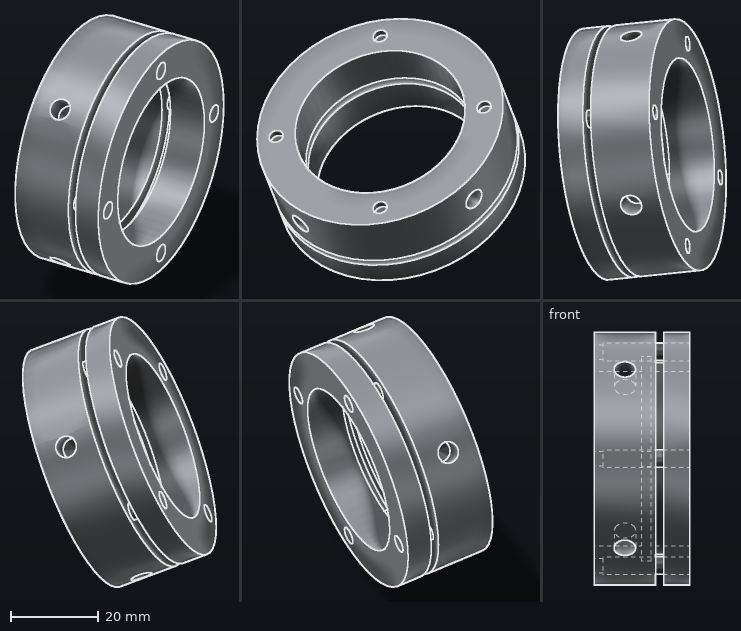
import cadquery as cq
import math

outer_radius = 29.0
bore_radius = 20.0
length = 22.0
wide_ring_length = 14.1
gap_width = 1.85
gap_floor_radius = 22.05

bore_groove_start = 10.8
bore_groove_width = 2.25
bore_groove_radius = 23.5

radial_hole_diameter = 4.95
radial_hole_depth = 5.75
drill_point_angle = 118.0

pin_count = 4
pin_circle_radius = 24.5
pin_diameter = 4.05
axial_hole_diameter = 3.3
axial_hole_depth = 2.0
pin_length = length - axial_hole_depth

pin_angles = [i * 360.0 / pin_count for i in range(pin_count)]
half_pin_pitch = 180.0 / pin_count


def cylinder_along_x(radius, start, depth):
    """Solid cylinder on the X axis, from x = start to start + depth."""
    return cq.Workplane("YZ", origin=(start, 0, 0)).circle(radius).extrude(depth)


def ring_along_x(outer, inner, start, depth):
    """Plain ring on the X axis."""
    return cylinder_along_x(outer, start, depth).cut(cylinder_along_x(inner, start, depth))


def turn_about_x(body, angle):
    return body.rotate((0, 0, 0), (1, 0, 0), angle)


def make_radial_hole():
    """Cutter for one radial hole with a drill-point bottom, pointing along +Z."""
    hole_radius = radial_hole_diameter / 2
    shoulder = outer_radius - radial_hole_depth
    tip = shoulder - hole_radius / math.tan(math.radians(drill_point_angle / 2))
    profile = [(0, tip), (hole_radius, shoulder), (hole_radius, outer_radius), (0, outer_radius)]
    hole = cq.Workplane("XZ").polyline(profile).close().revolve(360, (0, 0, 0), (0, 1, 0))
    return hole.translate((wide_ring_length / 2, 0, 0))


def move_to_pin_circle(body, angle):
    """Shift a body from the X axis to the pin position at the given angle from +Z."""
    y = pin_circle_radius * math.sin(math.radians(angle))
    z = pin_circle_radius * math.cos(math.radians(angle))
    return body.translate((0, y, z))


def make_axial_hole(angle):
    """Cutter for the short hole that leads from the end face to a pin."""
    hole = cylinder_along_x(axial_hole_diameter / 2, 0, axial_hole_depth)
    return move_to_pin_circle(hole, angle)


def make_pin(angle):
    """Pin that crosses the gap and ends flush with the flange; also cuts its own seat."""
    pin = cylinder_along_x(pin_diameter / 2, axial_hole_depth, pin_length)
    return move_to_pin_circle(pin, angle)


def make_housing():
    body = ring_along_x(outer_radius, bore_radius, 0, length)
    body = body.cut(ring_along_x(outer_radius, gap_floor_radius, wide_ring_length, gap_width))
    body = body.cut(ring_along_x(bore_groove_radius, bore_radius, bore_groove_start, bore_groove_width))
    for angle in pin_angles:
        body = body.cut(make_axial_hole(angle))
        body = body.cut(make_pin(angle))
        body = body.cut(turn_about_x(make_radial_hole(), angle + half_pin_pitch))
    return body


housing = make_housing()
pins = [make_pin(angle) for angle in pin_angles]

result = cq.Compound.makeCompound([housing.val(), *[pin.val() for pin in pins]])